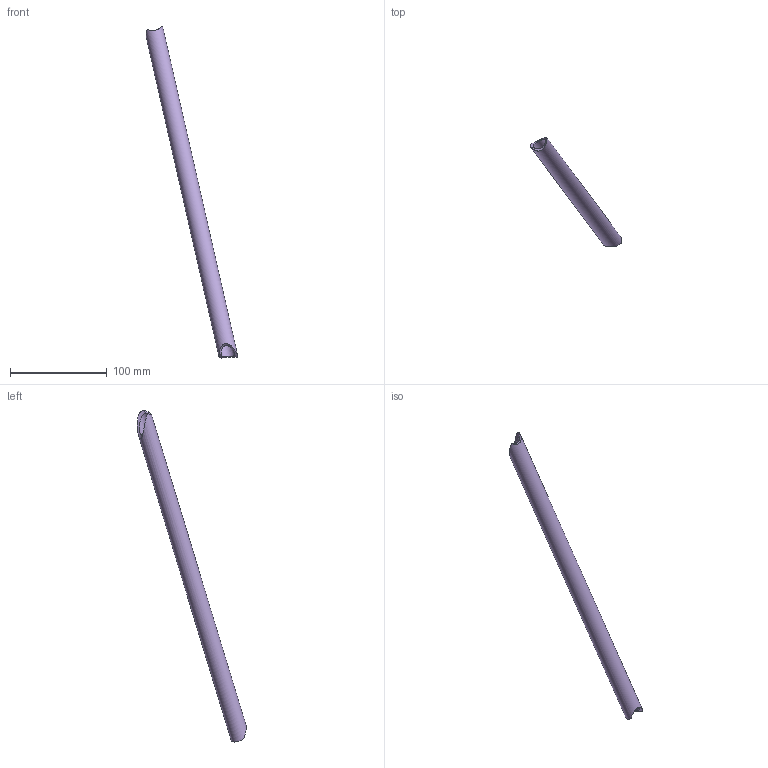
import cadquery as cq
import math

TUBE_RADIUS = 9.525
TUBE_WALL = 2.35
LEAN_X = -0.228
LEAN_Y = 0.3045

AXIS_ORIGIN = cq.Vector(-1.09, 1.20, 0)

BLANK_TOP = 200.0
BLANK_BOTTOM = -201.0
CUTTER_LENGTH = 160.0

TOP_COPES = [
    (187.85, -1.34, 83.1, 9.7, 10.5),
    (187.41, 0.09, 112.6, -53.2, 11.59),
]
BOTTOM_COPES = [
    (-187.70, -1.06, 77.5, -33.2, 9.63),
    (-194.37, 3.14, 80.6, -7.7, 15.93),
]

axis = cq.Vector(LEAN_X, LEAN_Y, 1).normalized()
side_x = (cq.Vector(1, 0, 0) - axis * axis.x).normalized()
side_y = axis.cross(side_x)


def point_on_axis(distance):
    """Point of the tube axis at a distance from the XY plane."""
    return AXIS_ORIGIN + axis * distance


def make_cylinder(radius, start, direction, length):
    return cq.Solid.makeCylinder(radius, length, start, direction)


def make_tube():
    """Straight round tube whose wall is split into a left and a right half."""
    start = point_on_axis(BLANK_BOTTOM)
    frame = cq.Plane(origin=start.toTuple(), xDir=side_x.toTuple(), normal=axis.toTuple())
    blank = cq.Workplane(frame)
    for radius in (TUBE_RADIUS, TUBE_RADIUS - TUBE_WALL):
        blank = (
            blank.moveTo(0, -radius)
            .threePointArc((radius, 0), (0, radius))
            .threePointArc((-radius, 0), (0, -radius))
            .close()
        )
    return blank.extrude(BLANK_TOP - BLANK_BOTTOM).val()


def cope_cutter(position, offset, heading, tilt, radius, outward):
    """Coping cylinder, swept outward along the tube to clear what lies beyond it."""
    turn = math.radians(heading)
    lean = math.radians(tilt)
    across = side_x * math.cos(turn) + side_y * math.sin(turn)
    direction = across * math.cos(lean) + axis * math.sin(lean)
    sideways = axis.cross(direction).normalized()
    center = point_on_axis(position) + sideways * offset
    start = center - direction * (CUTTER_LENGTH / 2)
    cylinder = make_cylinder(radius, start, direction, CUTTER_LENGTH)

    outward_square = sideways.cross(direction).normalized()
    if outward_square.dot(axis) * outward < 0:
        outward_square = outward_square * -1
    frame = cq.Plane(
        origin=center.toTuple(),
        xDir=sideways.toTuple(),
        normal=outward_square.toTuple(),
    )
    slab = cq.Workplane(frame).rect(2 * radius, CUTTER_LENGTH).extrude(CUTTER_LENGTH / 2).val()
    return [cylinder, slab]


def cope_end(tube, copes, outward):
    for cope in copes:
        for cutter in cope_cutter(*cope, outward):
            tube = tube.cut(cutter)
    return tube


def largest_solid(shape):
    """The tube itself, without slivers left beyond the coping cuts."""
    return max(shape.Solids(), key=lambda solid: solid.Volume())


tube = make_tube()
tube = cope_end(tube, TOP_COPES, 1)
tube = cope_end(tube, BOTTOM_COPES, -1)
result = cq.Workplane("XY").newObject([largest_solid(tube)])